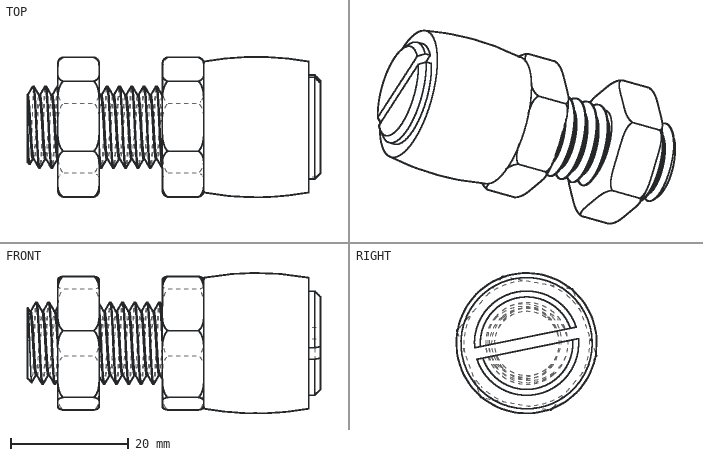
import cadquery as cq
import math

overall_length = 50.0

thread_diameter = 14.0
root_diameter = 11.0
thread_chamfer = 1.0
trim_clearance = 0.5
pitch = 2.1
crest_width = 0.15
thread_lead_in = 1.0
lead_turns = 2
root_gap = 0.05
root_overlap = 0.15

nut_across_flats = 21.0
nut_height = 7.1
nut_face_diameter = 21.4
nut_corner_drop = 0.95
nut_turn = -10.2
free_nut_start = 5.15

barrel_length = 17.9
barrel_end_diameter = 22.4
barrel_diameter = 24.0

plug_diameter = 17.8
plug_height = 2.0
plug_chamfer = 1.0
slot_width = 2.0
slot_turn = 11.5

plug_start = overall_length - plug_height
barrel_start = plug_start - barrel_length
fixed_nut_start = barrel_start - nut_height


def cylinder(start, length, diameter):
    return cq.Workplane("YZ").workplane(offset=start).circle(diameter / 2).extrude(length)


def thread():
    """Right-handed ridge of V section, trimmed flat at both ends and chamfered at the free end."""
    core_radius = root_diameter / 2
    inner_radius = core_radius - root_overlap
    crest_radius = thread_diameter / 2
    half_crest = crest_width / 2
    half_base = (pitch - root_gap) / 2
    ridge_start = thread_lead_in - lead_turns * pitch
    turns = math.ceil((fixed_nut_start - ridge_start) / pitch) + 1
    path = cq.Wire.makeHelix(pitch, turns * pitch, core_radius)
    ridge = (
        cq.Workplane("XZ")
        .polyline([
            (inner_radius, -half_base),
            (crest_radius, -half_crest),
            (crest_radius, half_crest),
            (inner_radius, half_base),
        ])
        .close()
        .sweep(cq.Workplane(path), isFrenet=True)
    )
    onto_x = cq.Plane(origin=(ridge_start, 0, 0), xDir=(0, 1, 0), normal=(1, 0, 0))
    ridge = cq.Workplane(ridge.val().moved(cq.Location(onto_x)))
    stud_length = fixed_nut_start + nut_height / 2
    trim = cylinder(0, stud_length, thread_diameter + 2 * trim_clearance)
    trim = trim.faces("<X").chamfer(thread_chamfer + trim_clearance)
    return ridge.intersect(trim)


def nut(start):
    """Hexagon with the corners rounded at both faces."""
    corner_diameter = nut_across_flats / math.cos(math.pi / 6)
    hexagon = (
        cq.Workplane("YZ").workplane(offset=start)
        .polygon(6, corner_diameter).extrude(nut_height)
        .rotate((0, 0, 0), (1, 0, 0), nut_turn)
    )
    corner_radius = corner_diameter / 2
    face_radius = nut_face_diameter / 2
    run_out = corner_radius - face_radius
    round_radius = (run_out**2 + nut_corner_drop**2) / (2 * nut_corner_drop)
    half_angle = math.asin(run_out / round_radius) / 2
    mid_radius = face_radius + round_radius * math.sin(half_angle)
    mid_drop = round_radius * (1 - math.cos(half_angle))
    end = start + nut_height
    envelope = (
        cq.Workplane("XY")
        .moveTo(start, 0)
        .lineTo(start, face_radius)
        .threePointArc((start + mid_drop, mid_radius), (start + nut_corner_drop, corner_radius))
        .lineTo(end - nut_corner_drop, corner_radius)
        .threePointArc((end - mid_drop, mid_radius), (end, face_radius))
        .lineTo(end, 0)
        .close()
        .revolve(360, (0, 0, 0), (1, 0, 0))
    )
    return hexagon.intersect(envelope)


def barrel():
    """Bulging housing, widest halfway along its length."""
    end_radius = barrel_end_diameter / 2
    middle = barrel_start + barrel_length / 2
    return (
        cq.Workplane("XY")
        .moveTo(barrel_start, 0)
        .lineTo(barrel_start, end_radius)
        .threePointArc((middle, barrel_diameter / 2), (plug_start, end_radius))
        .lineTo(plug_start, 0)
        .close()
        .revolve(360, (0, 0, 0), (1, 0, 0))
    )


def plug():
    """Chamfered end plug with a driver slot across its full width."""
    body = cylinder(plug_start, plug_height, plug_diameter).faces(">X").chamfer(plug_chamfer)
    slot = (
        cq.Workplane("XY").box(plug_height, plug_diameter, slot_width)
        .translate((plug_start + plug_height / 2, 0, 0))
        .rotate((0, 0, 0), (1, 0, 0), slot_turn)
    )
    return body.cut(slot)


stud_core = cylinder(0, barrel_start, root_diameter)
result = stud_core.union(thread())
for nut_start in (free_nut_start, fixed_nut_start):
    result = result.union(nut(nut_start))
result = result.union(barrel()).union(plug())